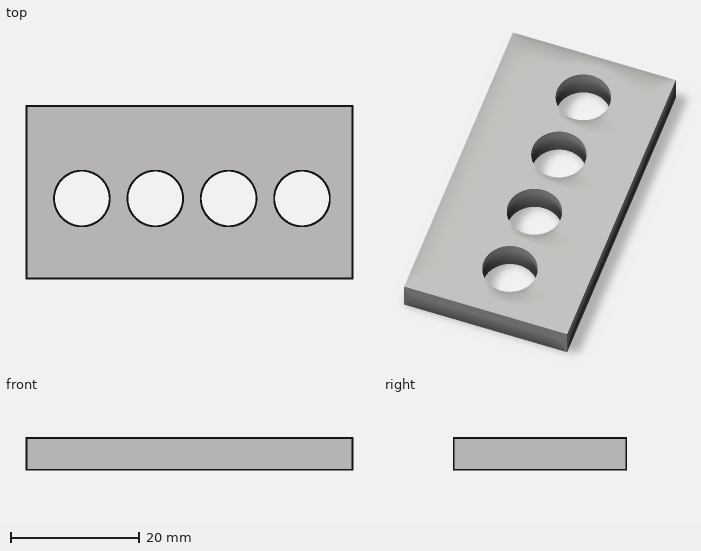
import cadquery as cq

length = 50.8
width = 26.9
thickness = 5.0

hole_count = 4
hole_diameter = 8.65
hole_pitch = 11.45
first_hole_x = 8.65
hole_row_y = 12.5

plate = cq.Workplane("XY").box(length, width, thickness, centered=False)

hole_centers = [(first_hole_x + i * hole_pitch, hole_row_y) for i in range(hole_count)]
holes = (
    cq.Workplane("XY")
    .pushPoints(hole_centers)
    .circle(hole_diameter / 2)
    .extrude(thickness)
)

result = plate.cut(holes)